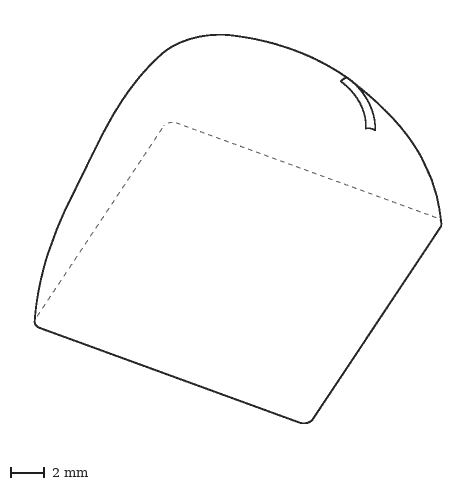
import cadquery as cq
import math

BASE_HALF_WIDTH = 9.12
BASE_CORNER_RADIUS = 0.6
LOFT_TOP = 13.67
LOFT_SECTIONS = 6
WALL_EXPONENT = 2.3
REFERENCE_HEIGHT = 10.94
WALL_INSET = 1.31
CORNER_INSET = 3.9
WALL_BOW = 0.5
CORNER_LEAN = 0.17

DISH_BOTTOM = 10.15
DISH_CENTER_Y = -2.73
DISH_RADIUS_Y = 21.33
DISH_RADIUS_X = 28.25
DISH_HALF_WIDTH = 10.94
DISH_CUTTER_DEPTH = 9.12
DISH_SWING = 90.0

RIM_FILLET = 0.45


def wall_half_width(z):
    """Distance from the axis to the middle of a wall."""
    return BASE_HALF_WIDTH - WALL_INSET * (z / REFERENCE_HEIGHT) ** WALL_EXPONENT


def wall_half_length(z):
    """Half length of a wall, between its two corner boundaries."""
    curved_inset = CORNER_INSET - CORNER_LEAN * REFERENCE_HEIGHT
    inset = CORNER_LEAN * z + curved_inset * (z / REFERENCE_HEIGHT) ** 2
    return BASE_HALF_WIDTH - BASE_CORNER_RADIUS - inset


def section(z):
    """Square outline with bowed walls and tangent corner arcs."""
    middle = wall_half_width(z)
    length = wall_half_length(z)
    bow = WALL_BOW * (z / REFERENCE_HEIGHT) ** 2
    end = middle - bow
    wall_turn = 2 * math.atan(bow / length)
    half_turn = math.pi / 4 - wall_turn
    chord = math.sqrt(2) * (end - length)
    corner_bulge = chord / 2 * math.tan(half_turn / 2)
    corner = (end + length) / 2 + corner_bulge / math.sqrt(2)

    edges = []
    for quarter in range(4):
        angle = quarter * math.pi / 2

        def point(x, y):
            return cq.Vector(
                x * math.cos(angle) - y * math.sin(angle),
                x * math.sin(angle) + y * math.cos(angle),
                z,
            )

        start = point(end, -length)
        finish = point(end, length)
        if bow > 0:
            edges.append(cq.Edge.makeThreePointArc(start, point(middle, 0), finish))
        else:
            edges.append(cq.Edge.makeLine(start, finish))
        edges.append(cq.Edge.makeThreePointArc(finish, point(corner, corner), point(length, end)))
    return cq.Wire.assembleEdges(edges)


def make_body():
    step = LOFT_TOP / (LOFT_SECTIONS - 1)
    wires = [section(i * step) for i in range(LOFT_SECTIONS)]
    return cq.Workplane(cq.Solid.makeLoft(wires))


def make_dish():
    """Cutter curved both ways: an arc in XZ swung about an axis parallel to X."""
    edge_rise = DISH_RADIUS_X - math.sqrt(DISH_RADIUS_X**2 - DISH_HALF_WIDTH**2)
    edge_z = DISH_BOTTOM + edge_rise
    cutter_top = DISH_BOTTOM + DISH_CUTTER_DEPTH
    axis_z = DISH_BOTTOM + DISH_RADIUS_Y
    axis_start = (0, axis_z)
    axis_end = (1, axis_z)
    cutter = (
        cq.Workplane("XZ", origin=(0, DISH_CENTER_Y, 0))
        .moveTo(-DISH_HALF_WIDTH, edge_z)
        .threePointArc((0, DISH_BOTTOM), (DISH_HALF_WIDTH, edge_z))
        .lineTo(DISH_HALF_WIDTH, cutter_top)
        .lineTo(-DISH_HALF_WIDTH, cutter_top)
        .close()
        .revolve(DISH_SWING, axis_start, axis_end)
    )
    return cutter.rotate(
        (0, DISH_CENTER_Y, axis_z), (1, DISH_CENTER_Y, axis_z), -DISH_SWING / 2
    )


keycap = make_body().cut(make_dish())
rim = keycap.faces(">Z").edges()
result = rim.fillet(RIM_FILLET)